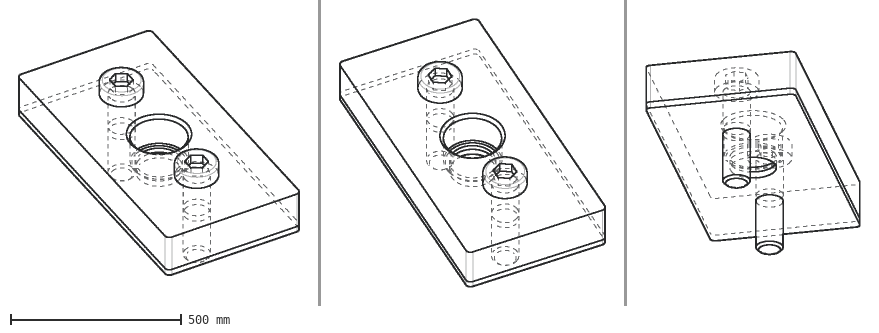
import cadquery as cq
import math

plate_length = 900
plate_width = 450
corner_radius = 15
block_thickness = 120
pad_thickness = 20

bore_diameter = 170.83
bore_mouth_diameter = 191.5
bore_wall_end_depth = 100
bore_floor_diameter = 161
through_diameter = 137

bolt_spacing = 450
shank_diameter = 80
head_diameter = 130
head_height = 50
overall_height = 350
head_edge_radius = 8
tip_chamfer = 8
socket_across_flats = 60
socket_depth = 30

block_bottom = pad_thickness
block_top = block_bottom + block_thickness
head_top = block_top + head_height
bolt_tip = head_top - overall_height

bolt_positions = [(-bolt_spacing / 2, 0), (bolt_spacing / 2, 0)]


def plate(bottom, thickness):
    """Rounded rectangular plate, centred on Z, with holes that fit the bolt shanks."""
    return (
        cq.Workplane("XY", origin=(0, 0, bottom))
        .rect(plate_length, plate_width)
        .extrude(thickness)
        .edges("|Z")
        .fillet(corner_radius)
        .faces(">Z")
        .workplane()
        .pushPoints(bolt_positions)
        .hole(shank_diameter)
    )


def bore_cutter():
    """Revolved shape of the central bore, down to the block's underside."""
    bore_radius = bore_diameter / 2
    mouth_radius = bore_mouth_diameter / 2
    floor_radius = bore_floor_diameter / 2
    through_radius = through_diameter / 2
    wall_top = block_top - (mouth_radius - bore_radius)
    wall_bottom = block_top - bore_wall_end_depth
    floor_level = wall_bottom - (bore_radius - floor_radius)
    return (
        cq.Workplane("XZ")
        .moveTo(0, block_top)
        .lineTo(mouth_radius, block_top)
        .lineTo(bore_radius, wall_top)
        .lineTo(bore_radius, wall_bottom)
        .lineTo(floor_radius, floor_level)
        .lineTo(through_radius, floor_level)
        .lineTo(through_radius, block_bottom)
        .lineTo(0, block_bottom)
        .close()
        .revolve(360, (0, 0, 0), (0, 1, 0))
    )


def bolt(position):
    """Socket head bolt whose head rests on the block's top face."""
    shank_radius = shank_diameter / 2
    head_radius = head_diameter / 2
    body = (
        cq.Workplane("XZ")
        .moveTo(0, bolt_tip)
        .lineTo(shank_radius - tip_chamfer, bolt_tip)
        .lineTo(shank_radius, bolt_tip + tip_chamfer)
        .lineTo(shank_radius, block_top)
        .lineTo(head_radius, block_top)
        .lineTo(head_radius, head_top)
        .lineTo(0, head_top)
        .close()
        .revolve(360, (0, 0, 0), (0, 1, 0))
        .faces(">Z")
        .edges()
        .fillet(head_edge_radius)
    )
    socket_across_corners = socket_across_flats / math.cos(math.radians(30))
    socket = (
        cq.Workplane("XY", origin=(0, 0, head_top))
        .polygon(6, socket_across_corners)
        .extrude(-socket_depth)
    )
    return body.cut(socket).translate((*position, 0))


block = plate(block_bottom, block_thickness).cut(bore_cutter())

pad = plate(0, pad_thickness).faces(">Z").workplane().hole(through_diameter)

bolts = [bolt(position) for position in bolt_positions]

result = cq.Compound.makeCompound([block.val(), pad.val(), *[item.val() for item in bolts]])